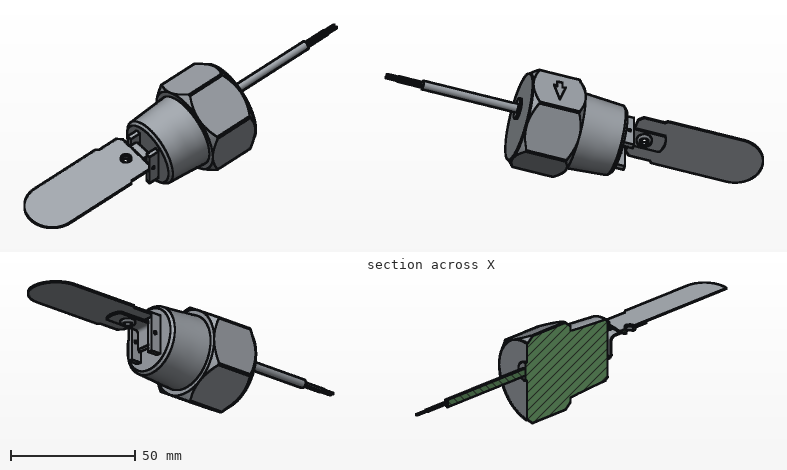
import cadquery as cq
import math


overall_length = 158.7

hex_across_flats = 35.9
hex_turned_radius = 20.5
hex_length = 22.0
base_length = 0.5
base_y = hex_length + base_length
hex_end_radius = hex_across_flats / 2
hex_end_chamfer = hex_turned_radius - hex_end_radius
plug_length = 19.2
plug_root_radius = 15.7
plug_tip_radius = 14.5
plug_chamfer = 1.3
grommet_radius = 4.3
grommet_length = 0.8

lug_inner_x = 4.9
lug_thickness = 2.0
lug_length = 4.8
lug_height = 16.8
pivot_hole_diameter = 1.3
pivot_y = -21.9

arrow_y = 11.0
arrow_top_z = 5.5
arrow_neck_z = 2.5
arrow_barb_z = 3.2
arrow_tip_z = -5.2
arrow_shaft_half_width = 1.1
arrow_head_half_width = 2.5
arrow_depth = 0.2

cable_z = 4.9
jacket_diameter = 3.7
jacket_end_y = 63.2
insulation_diameter = 1.1
insulation_end_y = 73.5
strand_diameter = 0.6
cable_end_y = 78.5
wire_offset_x = 0.8

blade_thickness = 0.6
blade_bottom_z = 5.5
blade_start_y = -25.2
blade_end_y = cable_end_y - overall_length
blade_half_width = 11.3
shank_half_width = 10.3
shank_end_y = -36.0
shank_chamfer = 1.9
shoulder = blade_half_width - shank_half_width

bracket_width = 8.4
bracket_thickness = 0.8
bracket_back_y = -20.5
bracket_end_y = -39.2
bracket_end_radius = 8.3
bracket_bottom_z = -4.5
bracket_bend_radius = 2.4
leg_bevel_height = 1.0
leg_bevel_depth = 0.6
rivet_y = -30.5
rivet_head_diameter = 6.2
rivet_head_height = 1.1
rivet_head_rounding = 0.8
rivet_hole_diameter = 3.3
blade_hole_diameter = 4.3


def rod(diameter, x, z, start_y, end_y):
    """Cylinder along Y between two Y positions."""
    return cq.Workplane("XZ", origin=(x, start_y, z)).circle(diameter / 2).extrude(start_y - end_y)


def block(x_limits, y_limits, z_limits):
    """Box between two limits on each axis."""
    size = [high - low for low, high in (x_limits, y_limits, z_limits)]
    corner = (x_limits[0], y_limits[0], z_limits[0])
    return cq.Workplane("XY").box(*size, centered=False).translate(corner)


def make_hexagon():
    across_corners = hex_across_flats / math.cos(math.pi / 6)
    prism = (
        cq.Workplane("XZ")
        .transformed(rotate=(0, 0, 30))
        .polygon(6, across_corners)
        .extrude(-hex_length)
    )
    turned = rod(2 * hex_turned_radius, 0, 0, 0, hex_length)
    turned = turned.faces("<Y or >Y").chamfer(hex_end_chamfer)
    return prism.intersect(turned)


def make_base():
    """Thin round face behind the hexagon, as wide as its flats."""
    return rod(2 * hex_end_radius, 0, 0, hex_length, base_y)


def make_plug():
    """Tapered plug with a chamfered tip, revolved about Y."""
    profile = [
        (0, 0),
        (plug_root_radius, 0),
        (plug_tip_radius, plug_chamfer - plug_length),
        (plug_tip_radius - plug_chamfer, -plug_length),
        (0, -plug_length),
    ]
    return cq.Workplane("XY").polyline(profile).close().revolve(360, (0, 0, 0), (0, 1, 0))


def make_lug(side):
    """Lug on one side of the axis: side is -1 or +1."""
    x_limits = sorted((side * lug_inner_x, side * (lug_inner_x + lug_thickness)))
    y_limits = (-plug_length - lug_length, -plug_length)
    lug = block(x_limits, y_limits, (-lug_height / 2, lug_height / 2))
    return lug.faces(">X").workplane(origin=(0, pivot_y, 0)).hole(pivot_hole_diameter)


def make_arrow():
    half_outline = [
        (arrow_shaft_half_width, arrow_top_z),
        (arrow_shaft_half_width, arrow_neck_z),
        (arrow_head_half_width, arrow_barb_z),
    ]
    mirrored = [(-y, z) for y, z in reversed(half_outline)]
    outline = half_outline + [(0, arrow_tip_z)] + mirrored
    plane = cq.Workplane("YZ", origin=(-hex_across_flats / 2, arrow_y, 0))
    return plane.polyline(outline).close().extrude(arrow_depth)


def make_housing():
    grommet = rod(2 * grommet_radius, 0, cable_z, base_y, base_y + grommet_length)
    housing = make_hexagon().union(make_base()).union(make_plug()).union(grommet)
    for side in (-1, 1):
        housing = housing.union(make_lug(side))
    return housing.cut(make_arrow())


def make_cable():
    """Jacket with two insulated wires, each ending in a bare strand."""
    cable = rod(jacket_diameter, 0, cable_z, base_y + grommet_length, jacket_end_y)
    for x in (-wire_offset_x, wire_offset_x):
        cable = cable.union(rod(insulation_diameter, x, cable_z, jacket_end_y, insulation_end_y))
        cable = cable.union(rod(strand_diameter, x, cable_z, insulation_end_y, cable_end_y))
    return cable


def make_blade():
    """Flat blade with a chamfered shank, sloped shoulders and a round tip."""
    shoulder_y = shank_end_y - shoulder
    tip_centre_y = blade_end_y + blade_half_width
    return (
        cq.Workplane("XY", origin=(0, 0, blade_bottom_z))
        .moveTo(-blade_half_width, tip_centre_y)
        .lineTo(-blade_half_width, shoulder_y)
        .lineTo(-shank_half_width, shank_end_y)
        .lineTo(-shank_half_width, blade_start_y - shank_chamfer)
        .lineTo(shank_chamfer - shank_half_width, blade_start_y)
        .lineTo(shank_half_width - shank_chamfer, blade_start_y)
        .lineTo(shank_half_width, blade_start_y - shank_chamfer)
        .lineTo(shank_half_width, shank_end_y)
        .lineTo(blade_half_width, shoulder_y)
        .lineTo(blade_half_width, tip_centre_y)
        .threePointArc((0, blade_end_y), (-blade_half_width, tip_centre_y))
        .close()
        .extrude(blade_thickness)
    )


def make_bracket():
    """L-shaped strip: an arm under the blade, bent down into a leg with a bevelled lower end."""
    arm_bottom_z = blade_bottom_z - bracket_thickness
    leg_front_y = bracket_back_y - bracket_thickness
    profile = [
        (bracket_end_y, blade_bottom_z),
        (bracket_back_y, blade_bottom_z),
        (bracket_back_y, bracket_bottom_z),
        (leg_front_y + leg_bevel_depth, bracket_bottom_z),
        (leg_front_y, bracket_bottom_z + leg_bevel_height),
        (leg_front_y, arm_bottom_z),
        (bracket_end_y, arm_bottom_z),
    ]
    bracket = (
        cq.Workplane("YZ", origin=(-bracket_width / 2, 0, 0))
        .polyline(profile)
        .close()
        .extrude(bracket_width)
    )
    outer_bend = cq.selectors.NearestToPointSelector((0, bracket_back_y, blade_bottom_z))
    inner_bend = cq.selectors.NearestToPointSelector((0, leg_front_y, arm_bottom_z))
    bracket = bracket.edges("|X").edges(outer_bend).fillet(bracket_bend_radius)
    bracket = bracket.edges("|X").edges(inner_bend).fillet(bracket_bend_radius - bracket_thickness)
    return bracket.intersect(make_arm_end_limit())


def make_arm_end_limit():
    """Envelope whose -Y side is the shallow arc that rounds the end of the arm."""
    half_width = bracket_width / 2
    arc_rise = bracket_end_radius - math.sqrt(bracket_end_radius**2 - half_width**2)
    arc_side_y = bracket_end_y + arc_rise
    return (
        cq.Workplane("XY", origin=(0, 0, bracket_bottom_z))
        .moveTo(half_width, bracket_back_y)
        .lineTo(-half_width, bracket_back_y)
        .lineTo(-half_width, arc_side_y)
        .threePointArc((0, bracket_end_y), (half_width, arc_side_y))
        .close()
        .extrude(blade_bottom_z - bracket_bottom_z)
    )


def make_paddle():
    """Blade, bracket and hollow rivet head, with a wider hole through the blade alone."""
    head_top_z = blade_bottom_z - bracket_thickness
    rivet_plane = cq.Workplane("XY", origin=(0, rivet_y, head_top_z))
    rivet_head = rivet_plane.circle(rivet_head_diameter / 2).extrude(-rivet_head_height)
    rivet_head = rivet_head.faces("<Z").edges().fillet(rivet_head_rounding)
    paddle = make_blade().union(make_bracket()).union(rivet_head)
    blade_top = paddle.faces(">Z").workplane(origin=(0, rivet_y, 0))
    return blade_top.cboreHole(rivet_hole_diameter, blade_hole_diameter, blade_thickness)


housing = make_housing()
cable = make_cable()
paddle = make_paddle()

result = cq.Compound.makeCompound([housing.val(), cable.val(), paddle.val()])